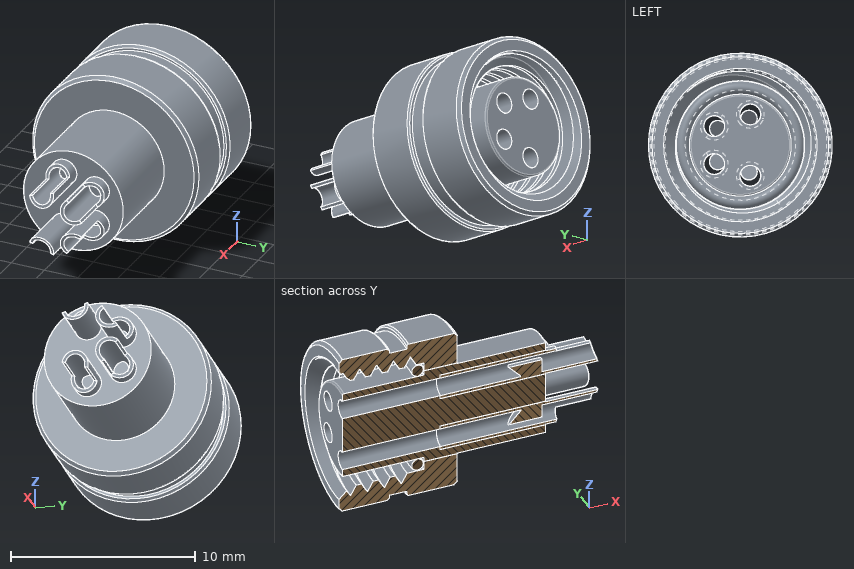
import cadquery as cq
import math


overall_length = 15.3

shell_radius = 5.0
shell_length = 7.0
shell_end_chamfer = 0.2
groove_start = 3.0
groove_end = 4.0
groove_radius = 4.7
groove_front_chamfer = 0.15
groove_rear_chamfer = 0.1
mouth_radius = 4.17
mouth_overcut = 0.5
bore_depth = 5.0

thread_pitch = 1.0
thread_half_angle = 30.0
thread_root_radius = 4.09
thread_crest_radius = 3.5
thread_start = -1.294
thread_overcut = 0.08

carrier_rear_radius = 3.0
carrier_nose_radius = 2.77
carrier_front = 0.2
carrier_rear = 12.2
carrier_edge_round = 0.09

ring_outer_radius = 3.48
ring_section_radius = (ring_outer_radius - carrier_nose_radius) / 2
ring_center_radius = carrier_nose_radius + ring_section_radius

contact_places = 5
contact_circle_radius = 1.75
contact_pitch_angle = 360 / contact_places
contact_count = contact_places - 1
middle_place = (contact_count - 1) / 2
contact_angles = [contact_pitch_angle * (place - middle_place) for place in range(contact_count)]
contact_radius = 0.75
contact_bore_radius = 0.56
contact_front = 6.0
cup_slant = math.tan(math.radians(15))
cup_opening = 13.02

stop_radius = 0.45
stop_offset = -0.23
stop_front = 10.0
stop_rear = 12.0
stop_lean = math.tan(math.radians(45))


def cylinder(radius, start, end):
    """Cylinder along the X axis."""
    return cq.Workplane("YZ", origin=(start, 0, 0)).circle(radius).extrude(end - start)


def revolve_about_x(points):
    """Solid of revolution from (x, radius) points."""
    return cq.Workplane("XY").polyline(points).close().revolve(360, (0, 0, 0), (1, 0, 0))


def make_thread_groove():
    """V groove wound along the bore, its base a little inside the thread crests."""
    base_radius = thread_crest_radius - thread_overcut
    half_width = (thread_root_radius - base_radius) * math.tan(math.radians(thread_half_angle))
    helix_length = bore_depth - half_width - thread_start
    helix = cq.Wire.makeHelix(thread_pitch, helix_length, base_radius)
    groove = (
        cq.Workplane("XZ")
        .polyline([(base_radius, -half_width), (thread_root_radius, 0), (base_radius, half_width)])
        .close()
        .sweep(cq.Workplane(helix), isFrenet=True)
    )
    return groove.rotate((0, 0, 0), (0, 1, 0), 90).translate((thread_start, 0, 0))


def make_shell():
    face_radius = shell_radius - shell_end_chamfer
    body = revolve_about_x(
        [
            (0, thread_crest_radius),
            (0, face_radius),
            (shell_end_chamfer, shell_radius),
            (groove_start - groove_front_chamfer, shell_radius),
            (groove_start, shell_radius - groove_front_chamfer),
            (groove_start, groove_radius),
            (groove_end, groove_radius),
            (groove_end, shell_radius - groove_rear_chamfer),
            (groove_end + groove_rear_chamfer, shell_radius),
            (shell_length - shell_end_chamfer, shell_radius),
            (shell_length, face_radius),
            (shell_length, carrier_rear_radius),
            (bore_depth, carrier_rear_radius),
            (bore_depth, thread_crest_radius),
        ]
    )
    mouth_depth = mouth_radius - thread_crest_radius
    mouth = revolve_about_x(
        [
            (-mouth_overcut, 0),
            (-mouth_overcut, mouth_radius + mouth_overcut),
            (mouth_depth, thread_crest_radius),
            (mouth_depth, 0),
        ]
    )
    return body.cut(make_thread_groove()).cut(mouth)


def make_carrier():
    body = revolve_about_x(
        [
            (carrier_front, 0),
            (carrier_front, carrier_nose_radius),
            (bore_depth, carrier_nose_radius),
            (bore_depth, carrier_rear_radius),
            (carrier_rear, carrier_rear_radius),
            (carrier_rear, 0),
        ]
    )
    body = body.faces("<X").edges().fillet(carrier_edge_round)
    socket_hole = cylinder(contact_bore_radius, carrier_front, contact_front)
    contact_seat = cylinder(contact_radius, contact_front, carrier_rear)
    for angle in contact_angles:
        body = body.cut(place_contact(socket_hole, angle)).cut(place_contact(contact_seat, angle))
    return body


def make_ring():
    return (
        cq.Workplane("XY")
        .center(bore_depth - ring_section_radius, ring_center_radius)
        .circle(ring_section_radius)
        .revolve(360, (0, -ring_center_radius, 0), (1, -ring_center_radius, 0))
    )


def make_stop():
    """Eccentric plug that half closes the bore; its front face leans toward the cup's closed side."""
    stop_top = stop_offset + stop_radius
    lean_length = stop_lean * (stop_top + contact_radius)
    leaning_side = (
        cq.Workplane("XY")
        .polyline(
            [
                (stop_front, stop_top),
                (stop_rear, stop_top),
                (stop_rear, -contact_radius),
                (stop_front + lean_length, -contact_radius),
            ]
        )
        .close()
        .extrude(contact_radius, both=True)
    )
    plug = cylinder(stop_radius, stop_front, stop_rear).translate((0, stop_offset, 0))
    rod = cylinder(contact_radius, stop_front, stop_rear)
    return plug.intersect(leaning_side).intersect(rod)


def make_contact():
    """Contact on the X axis, its cup open toward +Y, with both cup ends slanted."""
    slant_drop = cup_slant * contact_radius
    outline = [
        (contact_front, -contact_radius),
        (overall_length, -contact_radius),
        (overall_length - slant_drop, 0),
        (cup_opening, 0),
        (cup_opening - slant_drop, contact_radius),
        (contact_front, contact_radius),
    ]
    side = cq.Workplane("XY").polyline(outline).close().extrude(contact_radius, both=True)
    bore = cylinder(contact_bore_radius, contact_front, overall_length)
    rod = cylinder(contact_radius, contact_front, overall_length).intersect(side)
    return rod.cut(bore).union(make_stop())


def place_contact(shape, angle):
    return shape.translate((0, contact_circle_radius, 0)).rotate((0, 0, 0), (1, 0, 0), angle)


shell = make_shell()
carrier = make_carrier()
ring = make_ring()
contact = make_contact()
contacts = [place_contact(contact, angle) for angle in contact_angles]

result = cq.Compound.makeCompound(
    [shell.val(), carrier.val(), ring.val(), *[placed.val() for placed in contacts]]
)